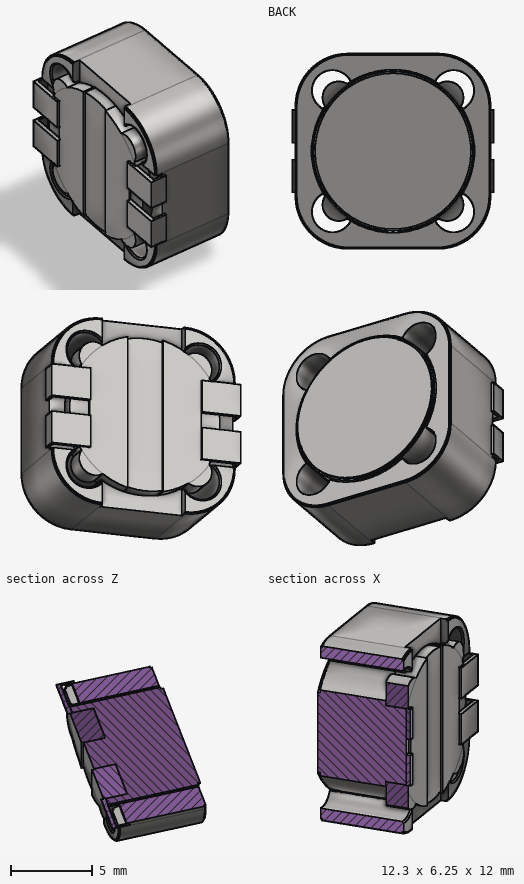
import cadquery as cq


HEIGHT = 6.25
TOTAL_WIDTH = 12.34

TERMINAL_BASE = 0.28
TERMINAL_RISE = 1.13
TERMINAL_LENGTH = 2.52
TERMINAL_INNER_Z = 0.51
TERMINAL_OUTER_Z = 2.53
TERMINAL_OUTER_X = TOTAL_WIDTH / 2
TERMINAL_TIP_X = TERMINAL_OUTER_X - TERMINAL_LENGTH

SHIELD_WIDTH = 12.0
SHIELD_BOTTOM = 0.46
SHIELD_HEIGHT = 5.6
SHIELD_CORNER = 3.25
RIM_STEP = 0.1
BORE_RADIUS = 5.0
CORNER_HOLE_RADIUS = 1.25
CORNER_HOLE_CHAMFER = 0.1
CHAMFER_ANGLE = 45
CORNER_HOLE_OFFSET = 3.72

CHANNEL_MOUTH_WIDTH = 5.4
CHANNEL_FLOOR_WIDTH = 5.3
CHANNEL_DEPTH = 0.5

DRUM_RADIUS = 4.9
DRUM_CAP_RADIUS = 4.78
DRUM_CAP_HEIGHT = 0.15

PLATE_BOTTOM = 0.15
PLATE_THICKNESS = 1.5
PLATE_SPACING = 2.3
LOBE_RADIUS = 1.0
LOBE_X = 3.33
LOBE_Z = 3.29

SIDES = (-1, 1)
CORNERS = [(side_x, side_z) for side_x in SIDES for side_z in SIDES]


def section_at(y, x=0, z=0):
    """XZ workplane at height y, centered on (x, z). Negative extrusions run toward +Y."""
    return cq.Workplane("XZ", origin=(x, y, z))


def make_channel():
    """Cutter for a channel along Z; its trapezoid section is widest at the shield's underside."""
    mouth = CHANNEL_MOUTH_WIDTH / 2
    floor = CHANNEL_FLOOR_WIDTH / 2
    floor_y = SHIELD_BOTTOM + CHANNEL_DEPTH
    section = [(-mouth, SHIELD_BOTTOM), (mouth, SHIELD_BOTTOM), (floor, floor_y), (-floor, floor_y)]
    return cq.Workplane("XY").polyline(section).close().extrude(SHIELD_WIDTH / 2, both=True)


def rounded_block(inset, bottom, height):
    """Square block with rounded corners, its sides set in from the shield's outline."""
    width = SHIELD_WIDTH - 2 * inset
    block = section_at(bottom).rect(width, width).extrude(-height)
    return block.edges("|Y").fillet(SHIELD_CORNER - inset)


def make_shield():
    core = rounded_block(RIM_STEP, SHIELD_BOTTOM, SHIELD_HEIGHT)
    wall = rounded_block(0, SHIELD_BOTTOM + RIM_STEP, SHIELD_HEIGHT - 2 * RIM_STEP)
    hole_centers = [(side_x * CORNER_HOLE_OFFSET, side_z * CORNER_HOLE_OFFSET) for side_x, side_z in CORNERS]
    corner_holes = (
        section_at(SHIELD_BOTTOM)
        .pushPoints(hole_centers)
        .circle(CORNER_HOLE_RADIUS)
        .extrude(-SHIELD_HEIGHT)
    )
    hole_mouths = (
        section_at(SHIELD_BOTTOM)
        .pushPoints(hole_centers)
        .circle(CORNER_HOLE_RADIUS + CORNER_HOLE_CHAMFER)
        .extrude(-CORNER_HOLE_CHAMFER, taper=CHAMFER_ANGLE)
    )
    bore = section_at(SHIELD_BOTTOM).circle(BORE_RADIUS).extrude(-SHIELD_HEIGHT)
    body = core.union(wall).cut(bore).cut(corner_holes).cut(hole_mouths)
    channel = make_channel()
    cross_channel = channel.rotate((0, 0, 0), (0, 1, 0), 90)
    return body.cut(channel).cut(cross_channel)


def make_base_plate(side):
    """Base plate on the given X side, notched around the terminals."""
    disc = section_at(PLATE_BOTTOM).circle(BORE_RADIUS).extrude(-PLATE_THICKNESS)
    inner_x = PLATE_SPACING / 2
    segment_width = BORE_RADIUS - inner_x
    segment_bounds = (
        section_at(PLATE_BOTTOM, x=side * (inner_x + segment_width / 2))
        .rect(segment_width, 2 * BORE_RADIUS)
        .extrude(-PLATE_THICKNESS)
    )
    notch_width = BORE_RADIUS - TERMINAL_TIP_X
    notch = (
        section_at(PLATE_BOTTOM, x=side * (TERMINAL_TIP_X + notch_width / 2))
        .rect(notch_width, 2 * TERMINAL_OUTER_Z)
        .extrude(-PLATE_THICKNESS)
    )
    plate = disc.intersect(segment_bounds).cut(notch)
    for side_z in SIDES:
        lobe = (
            section_at(PLATE_BOTTOM, x=side * LOBE_X, z=side_z * LOBE_Z)
            .circle(LOBE_RADIUS)
            .extrude(-PLATE_THICKNESS)
        )
        plate = plate.union(lobe.cut(disc), clean=False)
    return plate


def make_drum(plates):
    """Drum resting on the terminals, with recesses in its underside that hold the base plates."""
    cap_y = HEIGHT - DRUM_CAP_HEIGHT
    half_section = [
        (TERMINAL_BASE, 0),
        (TERMINAL_BASE, DRUM_RADIUS),
        (cap_y, DRUM_RADIUS),
        (cap_y, DRUM_CAP_RADIUS),
        (HEIGHT, DRUM_CAP_RADIUS),
        (HEIGHT, 0),
    ]
    core = cq.Workplane("YZ").polyline(half_section).close().revolve(360, (0, 0), (1, 0))
    for plate in plates:
        core = core.cut(plate)
    return core


def make_terminal(side_x, side_z):
    shield_x = SHIELD_WIDTH / 2
    section = [
        (TERMINAL_OUTER_X, 0),
        (TERMINAL_OUTER_X, TERMINAL_RISE),
        (shield_x, TERMINAL_RISE),
        (shield_x, TERMINAL_BASE),
        (TERMINAL_TIP_X, TERMINAL_BASE),
        (TERMINAL_TIP_X, 0),
    ]
    mirrored_section = [(side_x * x, y) for x, y in section]
    start = cq.Workplane("XY", origin=(0, 0, side_z * TERMINAL_INNER_Z))
    width = TERMINAL_OUTER_Z - TERMINAL_INNER_Z
    return start.polyline(mirrored_section).close().extrude(side_z * width)


shield = make_shield()
base_plates = [make_base_plate(side) for side in SIDES]
drum = make_drum(base_plates)
terminals = [make_terminal(side_x, side_z) for side_x, side_z in CORNERS]

result = cq.Compound.makeCompound([
    shield.val(),
    drum.val(),
    *[plate.val() for plate in base_plates],
    *[terminal.val() for terminal in terminals],
])